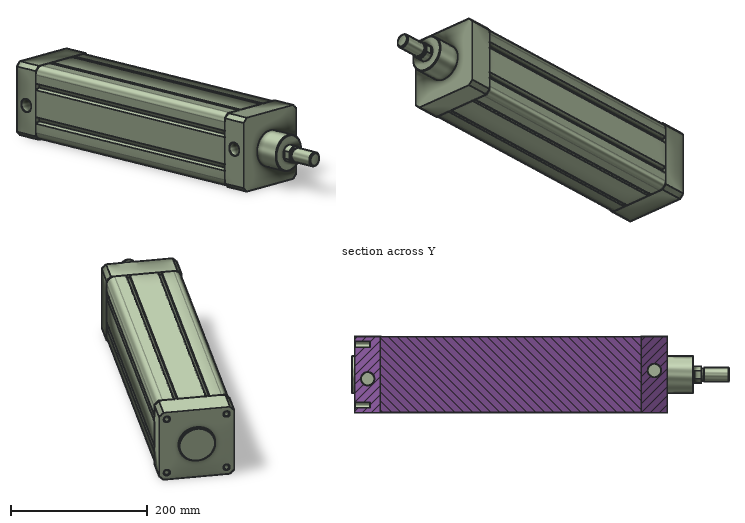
import cadquery as cq

OVERALL_LENGTH = 553.0
BOSS_LENGTH = 4.5
CAP_LENGTH = 38.0
BARREL_LENGTH = 381.5
BARREL_START = CAP_LENGTH
BARREL_END = BARREL_START + BARREL_LENGTH
FRONT_FACE = BARREL_END + CAP_LENGTH
COLLAR_END = FRONT_FACE + CAP_LENGTH
ROD_END = OVERALL_LENGTH - BOSS_LENGTH

CAP_SIDE = 112.0
CAP_CHAMFER = 6.5
COLLAR_DIAMETER = 55.0
COLLAR_CHAMFER = 1.0
PORT_DIAMETER = 19.5
PORT_MOUTH_DIAMETER = 20.5
PORT_DEPTH = 22.0
PORT_OFFSET = 6.0
SCREW_SPACING = 89.0
SCREW_HOLE_DIAMETER = 8.0
SCREW_HOLE_DEPTH = 22.0
SCREW_MOUTH_DIAMETER = 10.0

BARREL_SIDE = 111.0
BARREL_FILLET = 11.5
FLARED_GROOVE_DEPTH = 6.5
FLARED_GROOVE_OFFSET = 25.5
FLARED_MOUTH_WIDTH = 10.0
FLARED_FLOOR_WIDTH = 5.0
STRAIGHT_GROOVE_OFFSET = 24.0
STRAIGHT_GROOVE_WIDTH = 5.5
STRAIGHT_GROOVE_DEPTH = 4.0

ROD_DIAMETER = 25.0
FLATS_START = COLLAR_END + 2.0
FLATS_WIDTH = 22.0
FLATS_END = FLATS_START + 9.5
NECK_DIAMETER = 19.0
THREAD_START = FLATS_END + 3.0
THREAD_DIAMETER = 21.5
THREAD_CHAMFER = 1.5


def square_bar(start, length, side):
    """Plain square bar along X, centred on the axis."""
    return cq.Workplane("YZ", origin=(start, 0, 0)).rect(side, side).extrude(length)


def round_bar(start, end, diameter):
    """Round bar along X, centred on the axis."""
    return cq.Workplane("YZ", origin=(start, 0, 0)).circle(diameter / 2).extrude(end - start)


def cap_block(start):
    """Cap body with its four long edges chamfered."""
    return square_bar(start, CAP_LENGTH, CAP_SIDE).edges("|X").chamfer(CAP_CHAMFER)


def drilled_hole(diameter, depth, mouth_diameter):
    """Blind hole cutter entering at the origin along +X, with a 45-degree chamfered mouth."""
    mouth_depth = (mouth_diameter - diameter) / 2
    mouth = cq.Solid.makeCone(mouth_diameter / 2, diameter / 2, mouth_depth, dir=cq.Vector(1, 0, 0))
    return round_bar(0, depth, diameter).union(cq.Workplane(mouth))


def port(cap_start, height):
    """Blind air port entering the -Y side midway along a cap."""
    hole = drilled_hole(PORT_DIAMETER, PORT_DEPTH, PORT_MOUTH_DIAMETER)
    entry = (cap_start + CAP_LENGTH / 2, -CAP_SIDE / 2, height)
    return hole.rotate((0, 0, 0), (0, 0, 1), 90).translate(entry)


def make_rear_cap():
    """Rear cap with a shallow round boss, one port and four screw holes."""
    boss = round_bar(-BOSS_LENGTH, 0, COLLAR_DIAMETER).faces("<X").chamfer(COLLAR_CHAMFER)
    cap = cap_block(0).union(boss).cut(port(0, -PORT_OFFSET))
    screw_hole = drilled_hole(SCREW_HOLE_DIAMETER, SCREW_HOLE_DEPTH, SCREW_MOUTH_DIAMETER)
    half_spacing = SCREW_SPACING / 2
    for y in (-half_spacing, half_spacing):
        for z in (-half_spacing, half_spacing):
            cap = cap.cut(screw_hole.translate((0, y, z)))
    return cap


def make_front_cap():
    """Front cap with the rod collar, bored through for the rod."""
    collar = round_bar(FRONT_FACE, COLLAR_END, COLLAR_DIAMETER).faces(">X").chamfer(COLLAR_CHAMFER)
    rod_bore = round_bar(BARREL_END, COLLAR_END, ROD_DIAMETER)
    return cap_block(BARREL_END).union(collar).cut(port(BARREL_END, PORT_OFFSET)).cut(rod_bore)


def groove(offset, mouth_width, floor_width, depth):
    """Full-length groove cutter in the +Z face of the barrel, centred at the given Y."""
    top = BARREL_SIDE / 2
    floor_height = top - depth
    return (
        cq.Workplane("YZ", origin=(BARREL_START, 0, 0))
        .moveTo(offset - mouth_width / 2, top)
        .lineTo(offset + mouth_width / 2, top)
        .lineTo(offset + floor_width / 2, floor_height)
        .lineTo(offset - floor_width / 2, floor_height)
        .close()
        .extrude(BARREL_LENGTH)
    )


def make_barrel():
    """Rounded square extrusion: straight grooves in the +Z and -Z faces, flared ones in the Y faces."""
    barrel = square_bar(BARREL_START, BARREL_LENGTH, BARREL_SIDE).edges("|X").fillet(BARREL_FILLET)
    straight = groove(
        STRAIGHT_GROOVE_OFFSET, STRAIGHT_GROOVE_WIDTH, STRAIGHT_GROOVE_WIDTH, STRAIGHT_GROOVE_DEPTH
    )
    flared = groove(FLARED_GROOVE_OFFSET, FLARED_MOUTH_WIDTH, FLARED_FLOOR_WIDTH, FLARED_GROOVE_DEPTH)
    straight_pair = straight.union(straight.mirror("XZ"))
    flared_pair = flared.union(flared.mirror("XZ"))
    for half_turn in (0, 180):
        barrel = barrel.cut(straight_pair.rotate((0, 0, 0), (1, 0, 0), half_turn))
        barrel = barrel.cut(flared_pair.rotate((0, 0, 0), (1, 0, 0), 90 + half_turn))
    return barrel


def flat_cutter(side):
    """Block that removes one wrench flat, on the -Y (side = -1) or +Y (side = 1) of the rod."""
    length = FLATS_END - FLATS_START
    center = ((FLATS_START + FLATS_END) / 2, side * (FLATS_WIDTH + ROD_DIAMETER) / 2, 0)
    return cq.Workplane("XY").box(length, ROD_DIAMETER, ROD_DIAMETER).translate(center)


def make_rod():
    """Piston rod from the front cap's inner face: wrench flats, neck and threaded end."""
    shank = round_bar(BARREL_END, FLATS_END, ROD_DIAMETER)
    for side in (-1, 1):
        shank = shank.cut(flat_cutter(side))
    neck = round_bar(FLATS_END, THREAD_START, NECK_DIAMETER)
    thread = round_bar(THREAD_START, ROD_END, THREAD_DIAMETER).faces("<X or >X").chamfer(THREAD_CHAMFER)
    return shank.union(neck).union(thread)


rear_cap = make_rear_cap()
barrel = make_barrel()
front_cap = make_front_cap()
rod = make_rod()

result = cq.Compound.makeCompound([rear_cap.val(), barrel.val(), front_cap.val(), rod.val()])